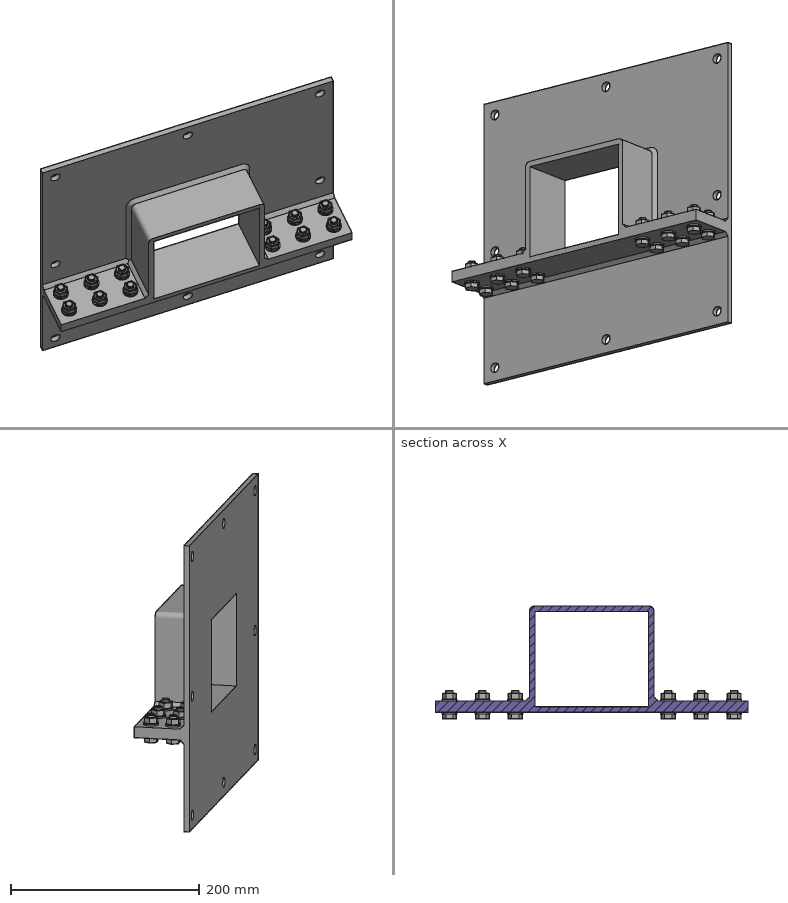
import cadquery as cq
import math

length_x = 60.0
width_y = 332.5
height_z = 313.0
sheet = 6.0

side_panel_width = 100.0
top_panel_height = 100.0
leg_height = 100.0
split_z = leg_height + sheet
duct_half_width = width_y / 2 - side_panel_width
duct_inner_half_width = duct_half_width - sheet
duct_top_z = height_z - top_panel_height
duct_ceiling_z = duct_top_z - sheet
flange_top_z = split_z + sheet

weld_throat = 3.0
weld_leg = weld_throat * math.sqrt(2)

mount_hole_diameter = 10.5
mount_hole_inset = 15.0
mid_hole_z = 145.0

bolt_diameter = 8.0
bolt_length = 25.0
bolt_tip_chamfer = 0.8
washer_diameter = 16.0
washer_thickness = 1.6
hex_across_flats = 13.0
bearing_diameter = 11.63
bearing_thickness = 0.4
head_height = 5.3
nut_height = 6.8
bolt_xs = (21.0, 45.0)
first_bolt_inset = 15.0
bolt_pitch = 35.0
bolts_per_row = 3


def box_between(low, high):
    """Box spanning two opposite corners."""
    size = [b - a for a, b in zip(low, high)]
    return cq.Workplane("XY").box(*size, centered=False).translate(low)


def fuse(parts):
    """Join parts, keeping the seams where their faces lie flush."""
    joined = parts[0]
    for part in parts[1:]:
        joined = joined.union(part, clean=False)
    return joined


def mirrored(part):
    """The part together with its image on the other side of the duct."""
    return [part, part.mirror("XZ")]


def lower_angle():
    """Bottom panel with the lower half of the split flange."""
    panel = box_between((0, -width_y / 2, 0), (sheet, width_y / 2, split_z))
    shelf = box_between((sheet, -width_y / 2, leg_height), (length_x, width_y / 2, split_z))
    return fuse([panel, shelf])


def side_channel():
    """Side panel with the duct wall and the upper half of the split flange, on the +Y side."""
    panel = box_between((0, duct_half_width, split_z), (sheet, width_y / 2, height_z))
    shelf = box_between((sheet, duct_half_width, split_z), (length_x, width_y / 2, flange_top_z))
    wall = box_between(
        (0, duct_inner_half_width, split_z), (length_x, duct_half_width, duct_ceiling_z)
    )
    return fuse([panel, shelf, wall])


def top_angle():
    """Top panel with the duct ceiling."""
    panel = box_between((0, -duct_half_width, duct_top_z), (sheet, duct_half_width, height_z))
    ceiling = box_between(
        (0, -duct_inner_half_width, duct_ceiling_z), (length_x, duct_inner_half_width, duct_top_z)
    )
    return fuse([panel, ceiling])


def corner_weld():
    """Filled upper corner of the duct: square within the panel, rounded behind it."""
    corner = box_between(
        (0, duct_inner_half_width, duct_ceiling_z), (sheet, duct_half_width, duct_top_z)
    )
    rounded = (
        cq.Workplane("YZ", origin=(sheet, duct_inner_half_width, duct_ceiling_z))
        .circle(sheet)
        .extrude(length_x - sheet)
    )
    quarter = box_between(
        (sheet, duct_inner_half_width, duct_ceiling_z), (length_x, duct_half_width, duct_top_z)
    )
    return corner.union(rounded.intersect(quarter))


def wall_weld():
    """Fillet weld between the duct wall and the flange."""
    return (
        cq.Workplane("YZ", origin=(sheet, duct_half_width, flange_top_z))
        .polyline([(0, 0), (weld_leg, 0), (0, weld_leg)])
        .close()
        .extrude(length_x - sheet)
    )


def outer_outline(x, grow):
    """Outline of flange and duct in the plane at x, moved outwards by grow."""
    edge_y = width_y / 2
    wall_y = duct_half_width + grow
    flange_z = flange_top_z + grow
    roof_z = duct_top_z + grow
    radius = sheet + grow
    arc_offset = radius * math.sqrt(0.5)
    arc_y = duct_inner_half_width + arc_offset
    arc_z = duct_ceiling_z + arc_offset
    return (
        cq.Workplane("YZ", origin=(x, 0, 0))
        .moveTo(-edge_y, leg_height - grow)
        .lineTo(edge_y, leg_height - grow)
        .lineTo(edge_y, flange_z)
        .lineTo(wall_y, flange_z)
        .lineTo(wall_y, duct_ceiling_z)
        .threePointArc((arc_y, arc_z), (duct_inner_half_width, roof_z))
        .lineTo(-duct_inner_half_width, roof_z)
        .threePointArc((-arc_y, arc_z), (-wall_y, duct_ceiling_z))
        .lineTo(-wall_y, flange_z)
        .lineTo(-edge_y, flange_z)
        .close()
        .val()
    )


def panel_weld():
    """Fillet weld behind the panels, under and over the flange and around the duct."""
    base = outer_outline(sheet, weld_leg)
    tip = outer_outline(sheet + weld_leg, 0)
    collar = cq.Workplane(cq.Solid.makeLoft([base, tip], True))
    core = cq.Workplane(cq.Solid.extrudeLinear(tip, [], cq.Vector(-weld_leg, 0, 0)))
    return collar.cut(core)


def bearing_face(z):
    """Thin round face on the end of a head or nut, starting at height z."""
    plane = cq.Workplane("XY", origin=(0, 0, z))
    return plane.circle(bearing_diameter / 2).extrude(bearing_thickness)


def hexagon(bottom_z, top_z):
    """Hexagonal prism with corners toward +Y and -Y."""
    across_corners = hex_across_flats / math.cos(math.pi / 6)
    return (
        cq.Workplane("XY", origin=(0, 0, bottom_z))
        .polygon(6, across_corners)
        .extrude(top_z - bottom_z)
        .rotate((0, 0, 0), (0, 0, 1), 30)
    )


def bolt_head(top_z):
    """Hexagon head with a bearing face on its upper end."""
    hexagon_top_z = top_z - bearing_thickness
    return hexagon(top_z - head_height, hexagon_top_z).union(bearing_face(hexagon_top_z))


def nut(bottom_z):
    """Hexagon nut with a bearing face on each end."""
    hexagon_bottom_z = bottom_z + bearing_thickness
    hexagon_top_z = bottom_z + nut_height - bearing_thickness
    prism = hexagon(hexagon_bottom_z, hexagon_top_z)
    return prism.union(bearing_face(bottom_z)).union(bearing_face(hexagon_top_z))


def bolt():
    """Bolt, two washers and nut on the Z axis, head down, at flange height."""
    washer = cq.Workplane("XY").circle(washer_diameter / 2).extrude(washer_thickness)
    head_z = leg_height - washer_thickness
    nut_z = flange_top_z + washer_thickness
    shank = (
        cq.Workplane("XY", origin=(0, 0, head_z))
        .circle(bolt_diameter / 2)
        .extrude(bolt_length)
        .faces(">Z")
        .chamfer(bolt_tip_chamfer)
    )
    lower_washer = washer.translate((0, 0, head_z))
    upper_washer = washer.translate((0, 0, flange_top_z))
    return fuse([shank, bolt_head(head_z), nut(nut_z), lower_washer, upper_washer])


def bolt_rows():
    """All bolts of the flange, on both sides of the duct."""
    bolts = []
    for x in bolt_xs:
        for row in range(bolts_per_row):
            y = width_y / 2 - first_bolt_inset - row * bolt_pitch
            bolts += [bolt().translate((x, side * y, 0)) for side in (1, -1)]
    return bolts


def mount_holes():
    """Cutters for the holes around the mounting plate."""
    side_y = width_y / 2 - mount_hole_inset
    bottom_z = mount_hole_inset
    top_z = height_z - mount_hole_inset
    centres = [(0, bottom_z), (0, top_z)]
    for y in (-side_y, side_y):
        centres += [(y, z) for z in (bottom_z, mid_hole_z, top_z)]
    return cq.Workplane("YZ").pushPoints(centres).circle(mount_hole_diameter / 2).extrude(sheet)


frame_parts = [lower_angle(), *mirrored(side_channel()), top_angle(), *mirrored(corner_weld())]
frame = fuse([*frame_parts, *mirrored(wall_weld()), panel_weld()])
frame = frame.cut(mount_holes(), clean=False)
result = fuse([frame, *bolt_rows()])